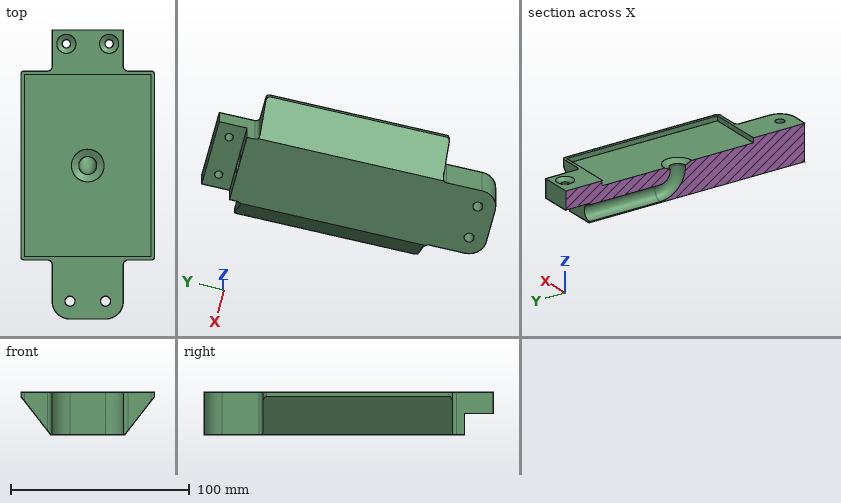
import cadquery as cq

total_length = 162.0
height = 24.0
tray_width = 75.0
tray_length = 106.0
front_tab_length = 33.0
tab_width = 40.0
tray_front = -tray_length / 2
tray_back = tray_length / 2
front_end = tray_front - front_tab_length
back_end = front_end + total_length

tray_corner_radius = 2.0
tab_root_radius = 2.5
tab_corner_radius = 10.0

base_width = 41.5
rim_height = 2.5

rim_wall = 2.0
recess_depth = 3.0
recess_floor = height - recess_depth

step_length = 16.0
step_height = 12.0

front_hole_diameter = 5.5
back_hole_diameter = 4.5
back_sink_diameter = 10.7
back_hole_spacing = 24.0
back_hole_inset = 7.8
sink_depth = 2.0

passage_diameter = 10.0
passage_sink_diameter = 18.3
passage_axis_height = step_height / 2
passage_bend_radius = 12.0


def box_between(x_size, y_start, y_end, z_start, z_end):
    """Box centred on X between the given Y and Z limits."""
    return (
        cq.Workplane("XY", origin=(0, (y_start + y_end) / 2, z_start))
        .rect(x_size, y_end - y_start)
        .extrude(z_end - z_start)
    )


def countersunk_hole(x, y, top, bottom, diameter, sink_diameter):
    """Vertical cutter with a conical mouth at its top."""
    radius = diameter / 2
    profile = [
        (0, bottom),
        (radius, bottom),
        (radius, top - sink_depth),
        (sink_diameter / 2, top),
        (0, top),
    ]
    cutter = cq.Workplane("XZ").polyline(profile).close().revolve(360, (0, 0), (0, 1))
    return cutter.translate((x, y, 0))


def make_block():
    """Tray and tabs at full height, with all upright edges rounded."""
    tray = box_between(tray_width, tray_front, tray_back, 0, height)
    tray = tray.edges("|Z").fillet(tray_corner_radius)
    tabs = box_between(tab_width, front_end, back_end, 0, height)
    tabs = tabs.edges("|Z and <Y").fillet(tab_corner_radius)
    block = tray.union(tabs)
    for y in (tray_front, tray_back):
        for x in (-tab_width / 2, tab_width / 2):
            corner = cq.selectors.NearestToPointSelector((x, y, height / 2))
            block = block.edges("|Z").edges(corner).fillet(tab_root_radius)
    return block


def make_flank_envelope():
    """Cross-section with sloped flanks, running the whole length."""
    half_base = base_width / 2
    half_tray = tray_width / 2
    rim_bottom = height - rim_height
    profile = [
        (-half_base, 0),
        (half_base, 0),
        (half_tray, rim_bottom),
        (half_tray, height),
        (-half_tray, height),
        (-half_tray, rim_bottom),
    ]
    section = cq.Workplane("XZ", origin=(0, back_end, 0)).polyline(profile).close()
    return section.extrude(total_length)


def make_recess():
    return box_between(
        tray_width - 2 * rim_wall,
        tray_front + rim_wall,
        tray_back - rim_wall,
        recess_floor,
        height,
    )


def make_passage():
    """Countersunk vertical bore, a quarter-turn elbow and a lengthwise bore to the back."""
    radius = passage_diameter / 2
    bend_top = passage_axis_height + passage_bend_radius
    inlet = countersunk_hole(0, 0, recess_floor, bend_top, passage_diameter, passage_sink_diameter)
    elbow = (
        cq.Workplane("XY", origin=(0, 0, bend_top))
        .circle(radius)
        .revolve(90, (0, passage_bend_radius), (1, passage_bend_radius))
    )
    outlet = (
        cq.Workplane("XZ", origin=(0, passage_bend_radius, passage_axis_height))
        .circle(radius)
        .extrude(passage_bend_radius - back_end)
    )
    return inlet.union(elbow).union(outlet)


result = make_block().intersect(make_flank_envelope())
result = result.cut(make_recess())
result = result.cut(box_between(tray_width, back_end - step_length, back_end, 0, step_height))
result = result.cut(make_passage())

front_hole_x = tab_width / 2 - tab_corner_radius
front_hole_y = front_end + tab_corner_radius
for side in (-1, 1):
    front_hole = (
        cq.Workplane("XY")
        .center(side * front_hole_x, front_hole_y)
        .circle(front_hole_diameter / 2)
        .extrude(height)
    )
    back_hole = countersunk_hole(
        side * back_hole_spacing / 2,
        back_end - back_hole_inset,
        height,
        0,
        back_hole_diameter,
        back_sink_diameter,
    )
    result = result.cut(front_hole).cut(back_hole)